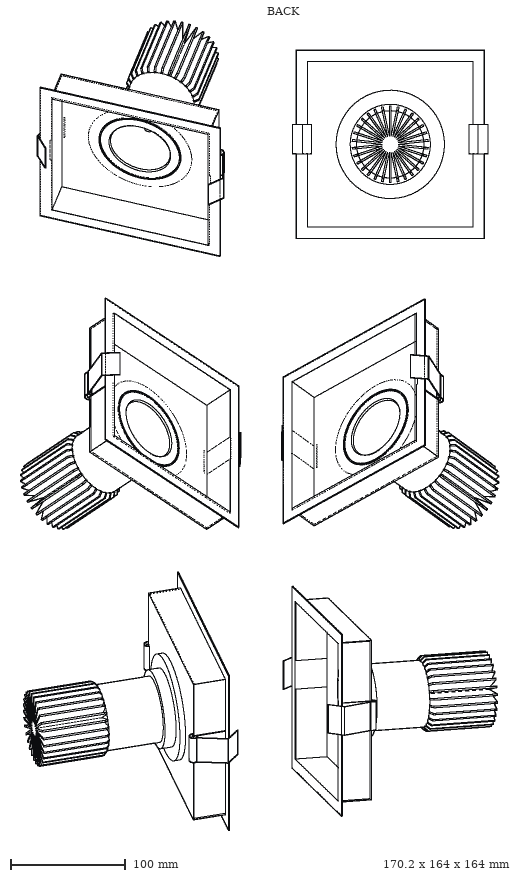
import cadquery as cq
import math


flange_side = 164.0
sheet = 1.0
box_side = 144.0
box_back = 30.0
opening_side = 142.2
lamp_hole_radius = 37.3

clip_width = 25.7
clip_offset_z = 4.6
clip_sheet = 0.77
tab_end = 31.3
curl_radius = 4.0
arm_start_angle = 205
elbow_x = 85.1
elbow_y = 2.0
lip_end_x = 74.4
lip_end_y = -9.9

boss_radius = 36.1
rim_radius = 47.2
rim_length = 5.1
collar_radius = 34.9
collar_length = 10.0
barrel_radius = 29.3
barrel_length = 49.0
sink_radius = 33.2
sink_length = 60.0
sink_chamfer = 2.9
fin_count = 30
fin_thickness = 1.5

mouth_radius = 28.1
taper_depth = 1.7
cone_radius = 27.2
cone_depth = 23.2
cone_floor_radius = 3.5


def cylinder_along_y(radius, start_y, length):
    """Solid cylinder on the lamp axis, from start_y towards +Y."""
    return cq.Workplane("XZ", origin=(0, start_y, 0)).circle(radius).extrude(-length)


def square_block(side, start_y, end_y):
    """Square block centred on the lamp axis between two Y positions."""
    return cq.Workplane("XZ", origin=(0, start_y, 0)).rect(side, side).extrude(start_y - end_y)


def clip_profile():
    """Workplane in the XY plane at the lower edge of the clips."""
    return cq.Workplane("XY", origin=(0, 0, clip_offset_z - clip_width / 2))


def bent_strip(start, elbow, end, thickness):
    """Outline of a strip with two straight legs: one face as given, the other mitred to its left."""
    leg_1 = math.atan2(elbow[1] - start[1], elbow[0] - start[0])
    leg_2 = math.atan2(end[1] - elbow[1], end[0] - elbow[0])
    mitre_angle = (leg_1 + leg_2) / 2
    mitre = thickness / math.cos((leg_2 - leg_1) / 2)

    def shifted(point, direction, distance):
        return (
            point[0] - distance * math.sin(direction),
            point[1] + distance * math.cos(direction),
        )

    return [
        start,
        elbow,
        end,
        shifted(end, leg_2, thickness),
        shifted(elbow, mitre_angle, mitre),
        shifted(start, leg_1, thickness),
    ]


def make_clip():
    """Spring clip on the -X side: tab on the box wall, curl over its end, arm and bent lip."""
    wall_x = -box_side / 2
    curl_x = wall_x - sheet / 2
    tab = (
        clip_profile()
        .moveTo(curl_x, (sheet + tab_end) / 2)
        .rect(sheet, tab_end - sheet)
        .extrude(clip_width)
    )
    curl = (
        clip_profile()
        .center(curl_x, box_back)
        .circle(curl_radius)
        .circle(curl_radius - clip_sheet)
        .extrude(clip_width)
        .cut(square_block(box_side, 0, box_back))
    )
    start_angle = math.radians(arm_start_angle)
    arm_start = (
        curl_x + curl_radius * math.cos(start_angle),
        box_back + curl_radius * math.sin(start_angle),
    )
    arm = (
        clip_profile()
        .polyline(bent_strip(arm_start, (-elbow_x, elbow_y), (-lip_end_x, lip_end_y), clip_sheet))
        .close()
        .extrude(clip_width)
    )
    return tab.union(curl).union(arm)


def make_frame():
    frame = square_block(flange_side, 0, sheet).union(square_block(box_side, 0, box_back))
    frame = frame.cut(square_block(opening_side, 0, box_back - sheet))
    frame = frame.cut(cylinder_along_y(lamp_hole_radius, 0, box_back))
    clip = make_clip()
    return frame.union(clip).union(clip.mirror("YZ"))


def make_heat_sink(start_y):
    """Radial fins: flat plates across the axis, trimmed to a cylinder chamfered at its front."""
    envelope = cylinder_along_y(sink_radius, start_y, sink_length).faces("<Y").chamfer(sink_chamfer)
    plate_reach = math.hypot(sink_radius, fin_thickness)
    plate = (
        cq.Workplane("XZ", origin=(0, start_y, 0))
        .rect(fin_thickness, 2 * plate_reach)
        .extrude(-sink_length)
    )
    plate_count = fin_count // 2
    fins = plate
    for index in range(1, plate_count):
        angle = index * 180 / plate_count
        fins = fins.union(plate.rotate((0, 0, 0), (0, 1, 0), angle))
    return fins.intersect(envelope)


def make_reflector_recess(front_y):
    """Steep tapered mouth, then a cone with a flat floor, opening at the lamp front."""
    profile = [
        (0, front_y),
        (mouth_radius, front_y),
        (cone_radius, front_y + taper_depth),
        (cone_floor_radius, front_y + taper_depth + cone_depth),
        (0, front_y + taper_depth + cone_depth),
    ]
    return cq.Workplane("XY").polyline(profile).close().revolve(360, (0, 0, 0), (0, 1, 0))


def make_lamp():
    front_y = box_back - sheet
    collar_y = box_back + rim_length
    barrel_y = collar_y + collar_length
    sink_y = barrel_y + barrel_length
    lamp = (
        cylinder_along_y(boss_radius, front_y, sheet)
        .union(cylinder_along_y(rim_radius, box_back, rim_length))
        .union(cylinder_along_y(collar_radius, collar_y, collar_length))
        .union(cylinder_along_y(barrel_radius, barrel_y, barrel_length))
        .union(make_heat_sink(sink_y))
    )
    return lamp.cut(make_reflector_recess(front_y))


frame = make_frame()
lamp = make_lamp()

result = cq.Compound.makeCompound([frame.val(), lamp.val()])